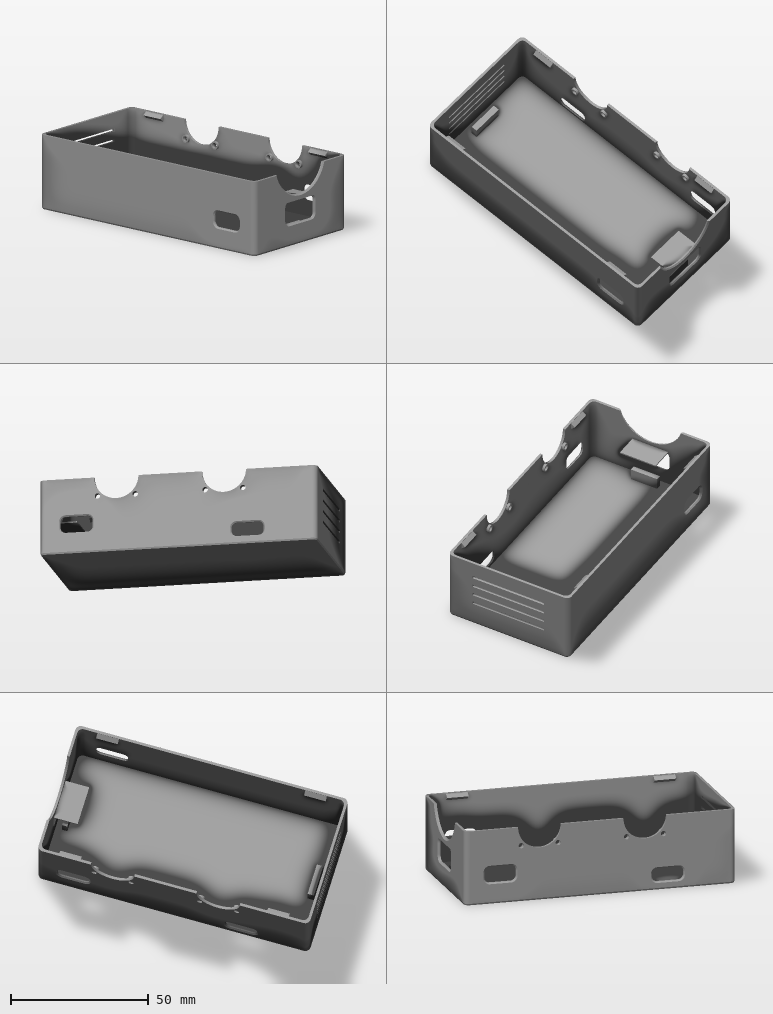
import cadquery as cq

length = 103.0
width = 51.0
height = 28.0
wall = 1.0
floor = 2.0
outer_corner_radius = 2.0
inner_corner_radius = 2.0
bottom_chamfer_height = 0.6
bottom_chamfer_inset = 0.3

inner_x = length / 2 - wall
inner_y = width / 2 - wall

flare = 0.5
flare_angle = 45.0

ridge_length = 8.2
ridge_offset_x = 39.4
ridge_depth = 1.6
ridge_base = 2.5
ridge_middle_z = 26.6

notch_centers_x = (-17.0, 23.0)
notch_radius = 8.2
boss_offset = 7.0
boss_diameter = 3.0
boss_hole_diameter = 2.0
boss_height = 1.0

rim_arc_radius = 13.4
rim_arc_center_z = 31.9

slot_length = 30.0
slot_height = 1.0
slot_count = 4
slot_pitch = 4.0
lowest_slot_z = 9.5

window_length = 12.0
right_window_height = 6.0
left_window_height = 5.0
window_corner_radius = 2.0
right_window_x = 37.9
right_window_z = 10.9
left_window_x = -25.7
left_window_z = 5.5

port_width = 16.0
port_bottom_z = 8.0
port_top_z = 16.5
port_corner_radius = 2.0
shelf_reach = 9.0
shelf_width = 15.0
shelf_thickness = 0.5

stop_height = 4.5
left_stop_x = -46.4
left_stop_thickness = 2.4
left_stop_width = 12.0
right_stop_x = 47.0
right_stop_thickness = 2.0
right_stop_width = 11.0


def box(size_x, size_y, size_z, x, y, base_z):
    """Box centred on (x, y) and standing on base_z."""
    return cq.Workplane("XY").box(size_x, size_y, size_z, (True, True, False)).translate((x, y, base_z))


def long_wall_plane(x, z, side):
    """Plane on the outer face of the back (side = 1) or front (side = -1) wall, normal outwards."""
    return cq.Plane((x, side * width / 2, z), xDir=(1, 0, 0), normal=(0, side, 0))


def right_end_plane(z):
    """Plane on the outer face of the right-hand end wall, normal outwards."""
    return cq.Plane((length / 2, 0, z), xDir=(0, 1, 0), normal=(1, 0, 0))


def flared_cutter(outer_plane, profile):
    """Cutter through a wall with a 45 degree chamfer at the outer face."""
    outer_face = cq.Workplane(outer_plane)
    straight = outer_face.placeSketch(profile).extrude(-wall)
    chamfer = outer_face.workplane(offset=-flare).placeSketch(profile).extrude(flare, taper=-flare_angle)
    return straight.union(chamfer)


def rounded_rectangle(size_x, size_y, radius):
    return cq.Sketch().rect(size_x, size_y).vertices().fillet(radius)


def make_shell():
    outer = box(length, width, height, 0, 0, 0).edges("|Z").fillet(outer_corner_radius)
    outer = outer.faces("<Z").edges().chamfer(bottom_chamfer_height, bottom_chamfer_inset)
    cavity = box(2 * inner_x, 2 * inner_y, height, 0, 0, floor).edges("|Z").fillet(inner_corner_radius)
    return outer.cut(cavity)


def snap_ridge(x, side):
    """Triangular ridge on the inside of the back (side = 1) or front (side = -1) wall."""
    wall_y = side * inner_y
    profile = [
        (wall_y, ridge_middle_z - ridge_base / 2),
        (wall_y - side * ridge_depth, ridge_middle_z),
        (wall_y, ridge_middle_z + ridge_base / 2),
    ]
    plane = cq.Workplane("YZ", origin=(x, 0, 0))
    return plane.polyline(profile).close().extrude(ridge_length / 2, both=True)


def add_snap_ridges(body):
    for side in (-1, 1):
        for end in (-1, 1):
            body = body.union(snap_ridge(end * ridge_offset_x, side))
    return body


def add_screw_boss(body, x, z):
    """Boss on the inside of the back wall, with a hole through boss and wall."""
    boss_face = cq.Workplane(cq.Plane((x, inner_y - boss_height, z), xDir=(1, 0, 0), normal=(0, 1, 0)))
    boss = boss_face.circle(boss_diameter / 2).extrude(boss_height)
    hole = boss_face.circle(boss_hole_diameter / 2).extrude(boss_height + wall)
    return body.union(boss).cut(hole)


def add_rim_notches(body):
    for center_x in notch_centers_x:
        outer_face = cq.Workplane(long_wall_plane(center_x, height, 1))
        body = body.cut(outer_face.circle(notch_radius).extrude(-wall))
        for end in (-1, 1):
            body = add_screw_boss(body, center_x + end * boss_offset, height - boss_offset)
    return body


def cut_windows(body):
    for x, z, window_height, side in (
        (right_window_x, right_window_z, right_window_height, -1),
        (right_window_x, right_window_z, right_window_height, 1),
        (left_window_x, left_window_z, left_window_height, 1),
    ):
        profile = rounded_rectangle(window_length, window_height, window_corner_radius)
        body = body.cut(flared_cutter(long_wall_plane(x, z, side), profile))
    return body


def cut_rim_arc(body):
    profile = cq.Sketch().circle(rim_arc_radius)
    return body.cut(flared_cutter(right_end_plane(rim_arc_center_z), profile))


def add_port(body):
    profile = rounded_rectangle(port_width, port_top_z - port_bottom_z, port_corner_radius)
    body = body.cut(flared_cutter(right_end_plane((port_top_z + port_bottom_z) / 2), profile))
    shelf_x = length / 2 - (shelf_reach + wall) / 2
    shelf = box(shelf_reach + wall, shelf_width, shelf_thickness, shelf_x, 0, port_top_z)
    return body.union(shelf)


def cut_cooling_slots(body):
    wall_middle_x = -(length - wall) / 2
    for i in range(slot_count):
        bottom_z = lowest_slot_z + i * slot_pitch - slot_height / 2
        body = body.cut(box(wall, slot_length, slot_height, wall_middle_x, 0, bottom_z))
    return body


def add_stops(body):
    left = box(left_stop_thickness, left_stop_width, stop_height, left_stop_x, 0, floor)
    right = box(right_stop_thickness, right_stop_width, stop_height, right_stop_x, 0, floor)
    return body.union(left).union(right)


result = make_shell()
result = add_snap_ridges(result)
result = add_rim_notches(result)
result = cut_windows(result)
result = cut_rim_arc(result)
result = add_port(result)
result = cut_cooling_slots(result)
result = add_stops(result)